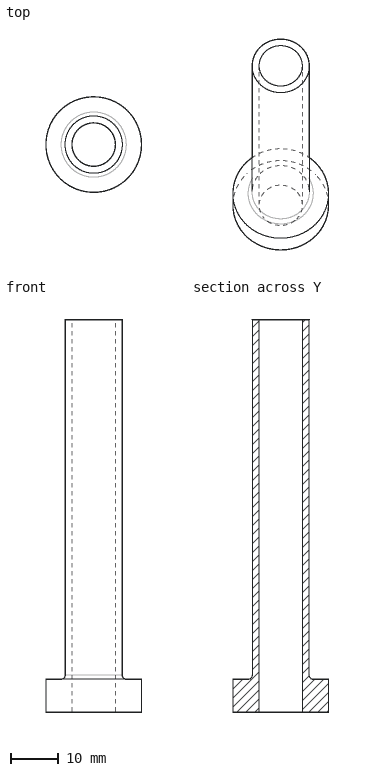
import cadquery as cq

total_height = 82.0
flange_diameter = 20.0
flange_height = 7.0
tube_diameter = 12.0
bore_diameter = 9.0
root_fillet_radius = 0.8

flange = cq.Workplane("XY").circle(flange_diameter / 2).extrude(flange_height)
tube = cq.Workplane("XY").circle(tube_diameter / 2).extrude(total_height)
body = flange.union(tube)

root_edge = cq.selectors.RadiusNthSelector(0)
body = body.faces("<Z[1]").edges(root_edge).fillet(root_fillet_radius)

bore = cq.Workplane("XY").circle(bore_diameter / 2).extrude(total_height)
result = body.cut(bore)